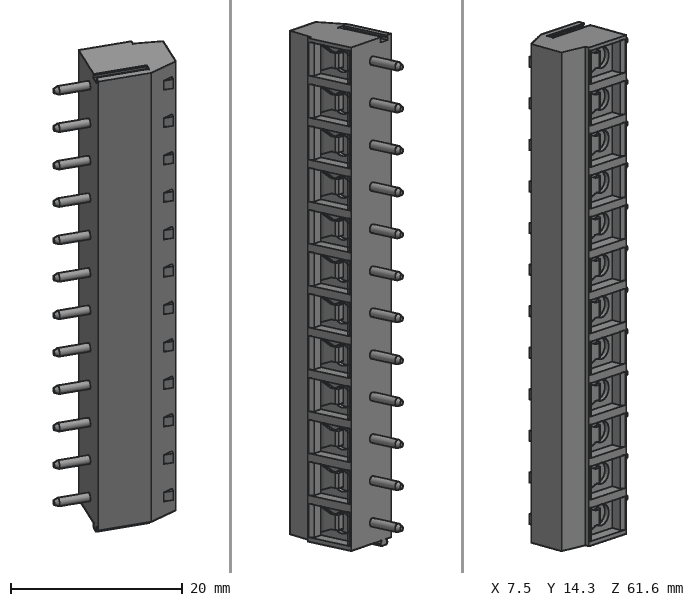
import cadquery as cq


pole_count = 12
total_height = 61.65
rail_height = 0.7
body_height = total_height - rail_height
pitch = body_height / pole_count
body_width = 7.5
body_depth = 10.0
shoulder_y = 6.5
step_x = 0.55
top_left_x = 1.1
top_right_x = 5.9
first_pole_z = 2.6

window_y_min = 0.2
window_y_max = 6.3
window_height = 4.05
window_bevel_width = 0.525
window_bevel_depth = 0.3
window_depth = 1.6

tongue_rise = 0.4
tongue_bend = 0.55
tongue_wide = 3.3
tongue_narrow = 1.85
tongue_taper_end_y = 3.95
tongue_tip_y = 2.95
tongue_tip_bevel_length = 0.4
tongue_tip_bevel_drop = 0.2
hole_diameter = 2.6
hole_y = 2.6
hole_depth = 0.6

pin_x = 4.0
pin_diameter = 1.05
pin_length = 4.3
pin_root_depth = 0.6
pin_tip_length = 0.55
pin_tip_diameter = 0.55

rail_x = 6.15
neck_width = 0.9
rail_width = 1.3
rail_nose_width = 0.9
rail_widest_z = 0.4
groove_depth = 0.6
groove_flare = 0.3

mark_top_y = 9.45
mark_x = 6.7
mark_height = 1.25


def slope_x(y):
    """X of the sloped +X side at height y above the pin side."""
    run = (body_depth - y) / (body_depth - shoulder_y)
    return top_right_x + (body_width - top_right_x) * run


def slope_y(x):
    """Y at which the sloped +X side reaches x."""
    run = (x - top_right_x) / (body_width - top_right_x)
    return body_depth - (body_depth - shoulder_y) * run


def z_slab(points, z_middle, height):
    """Extrude an XY outline by height, centred on z_middle."""
    base = cq.Workplane("XY").workplane(offset=z_middle - height / 2)
    return base.polyline(points).close().extrude(height)


def make_housing():
    outline = [
        (0, 0),
        (body_width, 0),
        (body_width, shoulder_y),
        (top_right_x, body_depth),
        (top_left_x, body_depth),
        (step_x, shoulder_y),
        (0, shoulder_y),
    ]
    return z_slab(outline, body_height / 2, body_height)


def make_window(z):
    floor_y_min = window_y_min + window_bevel_width
    floor_y_max = window_y_max - window_bevel_width
    outline = [
        (0, window_y_min),
        (window_bevel_depth, floor_y_min),
        (window_depth, floor_y_min),
        (window_depth, floor_y_max),
        (window_bevel_depth, floor_y_max),
        (0, window_y_max),
    ]
    return z_slab(outline, z, window_height)


def make_hole(z):
    plane = cq.Workplane("YZ", origin=(window_depth, hole_y, z))
    return plane.circle(hole_diameter / 2).extrude(hole_depth)


def make_tongue(z):
    """Rounded root, flat top, bevelled tip; tapered from root to tip."""
    root_y = window_y_max - window_bevel_width
    top_x = window_depth - tongue_rise
    bottom_x = window_depth + hole_depth
    side = (
        cq.Workplane("XY", origin=(0, 0, z - tongue_wide / 2))
        .moveTo(bottom_x, tongue_tip_y)
        .lineTo(top_x + tongue_tip_bevel_drop, tongue_tip_y)
        .lineTo(top_x, tongue_tip_y + tongue_tip_bevel_length)
        .lineTo(top_x, root_y - tongue_bend)
        .tangentArcPoint((window_depth, root_y), relative=False)
        .lineTo(bottom_x, root_y)
        .close()
        .extrude(tongue_wide)
    )
    plan = (
        cq.Workplane("YZ", origin=(0, 0, z))
        .moveTo(root_y, -tongue_wide / 2)
        .lineTo(root_y, tongue_wide / 2)
        .lineTo(tongue_taper_end_y, tongue_narrow / 2)
        .lineTo(tongue_tip_y, tongue_narrow / 2)
        .lineTo(tongue_tip_y, -tongue_narrow / 2)
        .lineTo(tongue_taper_end_y, -tongue_narrow / 2)
        .close()
        .extrude(bottom_x)
    )
    return side.intersect(plan)


def make_pin(z):
    """Round pin with a conical tip, pointing along -Y and rooted inside the housing."""
    shank_end_y = pin_tip_length - pin_length
    return (
        cq.Workplane("XY", origin=(pin_x, 0, z))
        .moveTo(0, pin_root_depth)
        .lineTo(pin_diameter / 2, pin_root_depth)
        .lineTo(pin_diameter / 2, shank_end_y)
        .lineTo(pin_tip_diameter / 2, -pin_length)
        .lineTo(0, -pin_length)
        .close()
        .revolve(360, (0, 0, 0), (0, 1, 0))
    )


def make_mark(z):
    outline = [
        (slope_x(mark_top_y), mark_top_y),
        (mark_x, mark_top_y),
        (mark_x, slope_y(mark_x)),
    ]
    return z_slab(outline, z, mark_height)


def y_bar(half_profile):
    """Bar along Y, as long as the shoulder, from (half width, Z) points mirrored about rail_x."""
    right = [(rail_x + half, z) for half, z in half_profile]
    left = [(rail_x - half, z) for half, z in reversed(half_profile)]
    return cq.Workplane("XZ").polyline(right + left).close().extrude(-shoulder_y)


def make_rail():
    return y_bar([
        (neck_width / 2, 0),
        (rail_width / 2, -rail_widest_z),
        (rail_nose_width / 2, -rail_height),
    ])


def make_groove():
    return y_bar([
        (neck_width / 2, body_height),
        (rail_width / 2, body_height - groove_flare),
        (rail_width / 2, body_height - groove_depth),
    ])


result = make_housing().union(make_rail()).cut(make_groove())

for pole in range(pole_count):
    pole_z = first_pole_z + pole * pitch
    result = result.cut(make_window(pole_z)).cut(make_hole(pole_z))
    result = result.union(make_tongue(pole_z)).union(make_pin(pole_z)).union(make_mark(pole_z))